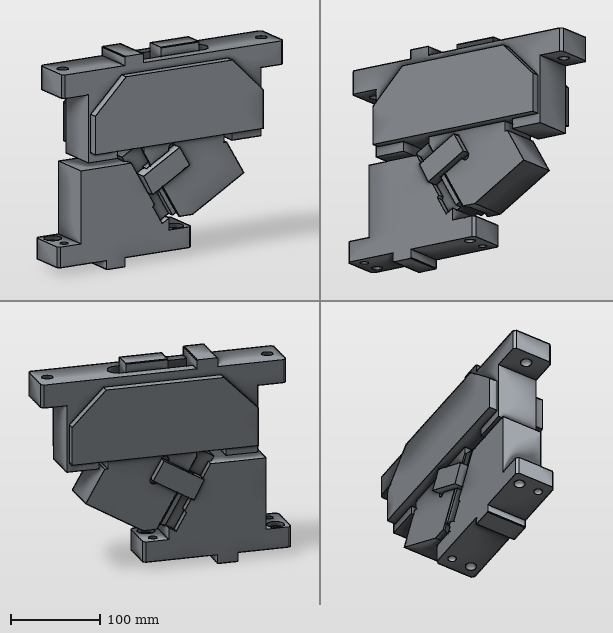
import cadquery as cq
import math

BODY_WIDTH = 49.5
KEY_HEIGHT = 10.5
KEY_LENGTH = 24.8
EDGE_BREAK = 1.0
CORNER_CHAMFER = 3.0
CLEARANCE = 1.0

HOLDER_TOP = 224.0
HOLDER_FLANGE_Y = (-141.5, 147.5)
HOLDER_FLANGE_THICKNESS = 27.5
HOLDER_BODY_Y = (-108.0, 117.7)
HOLDER_FEET_Z = 117.0
HOLDER_ARCH_Y = (-70.2, 80.0)
SIDE_PLATE_Y = (-105.0, 114.8)
SIDE_PLATE_Z = (128.5, 214.0)
SIDE_PLATE_SPAN = 70.0
SIDE_PLATE_CHAMFER = 40.5
HOLDER_HOLE_DIAMETER = 12.7
HOLDER_HOLE_INSET = 14.8
HOLDER_KEY_Y = -60.5
SLOT_WIDTH = 24.2
SLOT_END_Y = 61.5
SLOT_DEPTH = 10.3
STOP_BLOCK_Y = (-5.5, 44.0)

DRIVER_FLANGE_Y = (-147.5, 27.0)
DRIVER_FLANGE_THICKNESS = 24.2
DRIVER_COLUMN_Y = (-117.7, -2.7)
DRIVER_TOP = 109.2
DRIVER_KEY_Y = -84.7
DRIVER_HOLE_X = 12.5
DOWEL_DIAMETER = 9.5
BOLT_DIAMETER = 12.5
COUNTERBORE_DIAMETER = 19.8
COUNTERBORE_DEPTH = 5.0

SLOPE = math.radians(60)
GUIDE_ORIGIN_Y = -11.5
GUIDE_ORIGIN_Z = 33.0
SHOULDER_OUT = 3.0
SHOULDER_START = 25.7
SHOULDER_RELIEF = 1.5
RAIL_LENGTH = 94.5
RAIL_WIDTH = 32.0
HEAD_LENGTH = 68.0
GROOVE_WIDTH = 45.5
HEAD_OUT = 15.5
SLIDE_FACE_OUT = 22.0
GROOVE_FLANK = math.radians(30)
GROOVE_DEPTH = (GROOVE_WIDTH - RAIL_WIDTH) / 2 * math.tan(GROOVE_FLANK)

SLIDE_TOP = SIDE_PLATE_Z[0] - CLEARANCE
SLIDE_NECK_Y = (-35.5, 69.3)
SLIDE_STEP_Y = 73.0
SLIDE_STEP_Z = 116.0
SLIDE_BACK_CORNER = (95.3, 77.3)
SLIDE_FLAT_Y = 28.0
SLIDE_FLAT_Z = 38.0
HOOK_SPAN = 68.5
HOOK_ALONG = (42.2, 68.0)
HOOK_OUT_END = 59.3
HOOK_TIP_LOWER = 3.5
HOOK_TIP_UPPER = 4.7
HOOK_LIP_GAP = 37.8
RELIEF_RADIUS = 4.7
RELIEF_DEPTH = 3.0


def guide_point(along, out):
    """Y and Z of a point given along and square to the slope."""
    y = GUIDE_ORIGIN_Y - along * math.cos(SLOPE) + out * math.sin(SLOPE)
    z = GUIDE_ORIGIN_Z + along * math.sin(SLOPE) + out * math.cos(SLOPE)
    return (y, z)


def along_at_height(z, out):
    """Distance along the slope at which a line parallel to it reaches height z."""
    return (z - GUIDE_ORIGIN_Z - out * math.cos(SLOPE)) / math.sin(SLOPE)


def prism(points, x_start, x_end):
    """Solid between two X positions with a polygonal outline in Y and Z."""
    outline = cq.Workplane("YZ", origin=(x_start, 0, 0)).polyline(points).close()
    return outline.extrude(x_end - x_start)


def wide_prism(points, width):
    return prism(points, -width / 2, width / 2)


def block(width, y_range, z_range):
    """Rectangular block centred on X = 0."""
    length = y_range[1] - y_range[0]
    height = z_range[1] - z_range[0]
    corner = cq.Workplane("XY", origin=(0, y_range[0], z_range[0]))
    return corner.box(width, length, height, centered=(True, False, False))


def flange(y_range, z_range):
    return block(BODY_WIDTH, y_range, z_range).edges("|Z").chamfer(CORNER_CHAMFER)


def guide_section(points, length, start=0):
    """Prism up the slope from a section given in X and the outward direction."""
    plane = cq.Plane(
        origin=(0, *guide_point(start, 0)),
        xDir=(1, 0, 0),
        normal=(0, -math.cos(SLOPE), math.sin(SLOPE)),
    )
    return cq.Workplane(plane).polyline(points).close().extrude(length)


def side_plates():
    y0, y1 = SIDE_PLATE_Y
    z0, z1 = SIDE_PLATE_Z
    c = SIDE_PLATE_CHAMFER
    outline = [(y0, z0), (y1, z0), (y1, z1 - c), (y1 - c, z1), (y0 + c, z1), (y0, z1 - c)]
    return wide_prism(outline, SIDE_PLATE_SPAN)


def stop_slot():
    """Slot with one round end, running up to the key."""
    radius = SLOT_WIDTH / 2
    key_face = HOLDER_KEY_Y + KEY_LENGTH
    return (
        cq.Workplane("XY", origin=(0, 0, HOLDER_TOP))
        .moveTo(-radius, key_face)
        .lineTo(radius, key_face)
        .lineTo(radius, SLOT_END_Y - radius)
        .threePointArc((0, SLOT_END_Y), (-radius, SLOT_END_Y - radius))
        .close()
        .extrude(-SLOT_DEPTH)
    )


def make_holder():
    y0, y1 = HOLDER_FLANGE_Y
    key_top = HOLDER_TOP + KEY_HEIGHT
    body = flange(HOLDER_FLANGE_Y, (HOLDER_TOP - HOLDER_FLANGE_THICKNESS, HOLDER_TOP))
    body = body.union(block(BODY_WIDTH, HOLDER_BODY_Y, (HOLDER_FEET_Z, HOLDER_TOP)))
    body = body.cut(block(BODY_WIDTH, HOLDER_ARCH_Y, (HOLDER_FEET_Z, SIDE_PLATE_Z[0])))
    body = body.union(side_plates())
    key = block(BODY_WIDTH, (HOLDER_KEY_Y, HOLDER_KEY_Y + KEY_LENGTH), (HOLDER_TOP, key_top))
    body = body.union(key.edges("|X and >Z").chamfer(EDGE_BREAK))
    stop = block(SLOT_WIDTH, STOP_BLOCK_Y, (HOLDER_TOP - SLOT_DEPTH, key_top))
    body = body.cut(stop_slot()).union(stop.edges("|Y and >Z").chamfer(EDGE_BREAK))
    holes = (
        cq.Workplane("XY", origin=(0, 0, HOLDER_TOP))
        .pushPoints([(0, y0 + HOLDER_HOLE_INSET), (0, y1 - HOLDER_HOLE_INSET)])
        .circle(HOLDER_HOLE_DIAMETER / 2)
        .extrude(-HOLDER_FLANGE_THICKNESS)
    )
    return body.cut(holes)


def slide_groove():
    """Groove with sloping flanks that takes the crest of the rail."""
    floor = SLIDE_FACE_OUT + GROOVE_DEPTH
    points = [
        (-GROOVE_WIDTH / 2, SLIDE_FACE_OUT),
        (GROOVE_WIDTH / 2, SLIDE_FACE_OUT),
        (RAIL_WIDTH / 2, floor),
        (-RAIL_WIDTH / 2, floor),
    ]
    return guide_section(points, 2 * RAIL_LENGTH, -RAIL_LENGTH / 2)


def add_hook(slide, side):
    """Hook on one side (-1 or 1): plate, lip under the rail head and two corner reliefs."""
    low, high = HOOK_ALONG
    tip = [guide_point(low, HOOK_TIP_LOWER), guide_point(high, HOOK_TIP_UPPER)]
    plate = tip + [guide_point(high, HOOK_OUT_END), guide_point(low, HOOK_OUT_END)]
    lip = tip + [guide_point(high, HEAD_OUT), guide_point(low, HEAD_OUT)]
    inner = side * BODY_WIDTH / 2
    outer = side * HOOK_SPAN / 2
    root = prism(plate, inner - side * RELIEF_DEPTH, inner)
    reliefs = (
        cq.Workplane("YZ", origin=(inner, 0, 0))
        .pushPoints([guide_point(along, HOOK_OUT_END - RELIEF_RADIUS) for along in HOOK_ALONG])
        .circle(RELIEF_RADIUS)
        .extrude(-side * RELIEF_DEPTH)
    )
    return (
        slide.cut(reliefs.cut(root))
        .union(prism(plate, inner, outer))
        .union(prism(lip, side * HOOK_LIP_GAP / 2, outer))
    )


def make_slide():
    neck_front, neck_back = SLIDE_NECK_Y
    face_foot_y, _ = guide_point(0, SLIDE_FACE_OUT)
    upper_along = (face_foot_y - neck_front) / math.cos(SLOPE)
    lower_along = along_at_height(SLIDE_FLAT_Z, SLIDE_FACE_OUT)
    outline = [
        (neck_front, SLIDE_TOP),
        (neck_back, SLIDE_TOP),
        (neck_back, SLIDE_STEP_Z),
        (SLIDE_STEP_Y, SLIDE_STEP_Z),
        SLIDE_BACK_CORNER,
        (SLIDE_FLAT_Y, SLIDE_FLAT_Z),
        guide_point(lower_along, SLIDE_FACE_OUT),
        guide_point(upper_along, SLIDE_FACE_OUT),
    ]
    slide = wide_prism(outline, BODY_WIDTH).cut(slide_groove())
    for side in (-1, 1):
        slide = add_hook(slide, side)
    return slide


def driver_column():
    """Column with a sloping shoulder, a seat for the rail and a ledge at the seat's foot."""
    front, back = DRIVER_COLUMN_Y
    ledge_out = (back - GUIDE_ORIGIN_Y) / math.sin(SLOPE)
    outline = [
        (front, 0),
        (back, 0),
        guide_point(0, ledge_out),
        guide_point(0, 0),
        guide_point(SHOULDER_START - SHOULDER_RELIEF, 0),
        guide_point(SHOULDER_START, SHOULDER_OUT),
        guide_point(along_at_height(DRIVER_TOP, SHOULDER_OUT), SHOULDER_OUT),
        (front, DRIVER_TOP),
    ]
    return wide_prism(outline, BODY_WIDTH)


def driver_rail():
    """T-shaped rail: a full-length web and a shorter head with a bevelled crest."""
    face = SLIDE_FACE_OUT - CLEARANCE
    crest = face + GROOVE_DEPTH
    web_half = RAIL_WIDTH / 2
    head_half = BODY_WIDTH / 2
    crest_half = GROOVE_WIDTH / 2
    web = guide_section(
        [(-web_half, 0), (web_half, 0), (web_half, crest), (-web_half, crest)],
        RAIL_LENGTH,
    )
    head = guide_section(
        [
            (-head_half, HEAD_OUT),
            (head_half, HEAD_OUT),
            (head_half, face),
            (crest_half, face),
            (web_half, crest),
            (-web_half, crest),
            (-crest_half, face),
            (-head_half, face),
        ],
        HEAD_LENGTH,
    )
    return web.union(head)


def make_driver():
    front, back = DRIVER_FLANGE_Y
    top = DRIVER_FLANGE_THICKNESS
    body = flange(DRIVER_FLANGE_Y, (0, top)).union(driver_column()).union(driver_rail())
    key = block(BODY_WIDTH, (DRIVER_KEY_Y, DRIVER_KEY_Y + KEY_LENGTH), (-KEY_HEIGHT, 0))
    body = body.union(key.edges("|X and <Z").chamfer(EDGE_BREAK))
    front_y = (front + DRIVER_COLUMN_Y[0]) / 2
    back_y = (back + DRIVER_COLUMN_Y[1]) / 2
    for y, bolt_x in ((front_y, -DRIVER_HOLE_X), (back_y, DRIVER_HOLE_X)):
        plane = cq.Workplane("XY", origin=(0, 0, top))
        bolt = plane.center(bolt_x, y).circle(BOLT_DIAMETER / 2).extrude(-top)
        bore = plane.center(bolt_x, y).circle(COUNTERBORE_DIAMETER / 2).extrude(-COUNTERBORE_DEPTH)
        dowel = plane.center(-bolt_x, y).circle(DOWEL_DIAMETER / 2).extrude(-top)
        body = body.cut(bolt).cut(bore).cut(dowel)
    return body


holder = make_holder()
slide = make_slide()
driver = make_driver()

result = cq.Compound.makeCompound([holder.solids().val(), slide.solids().val(), driver.solids().val()])